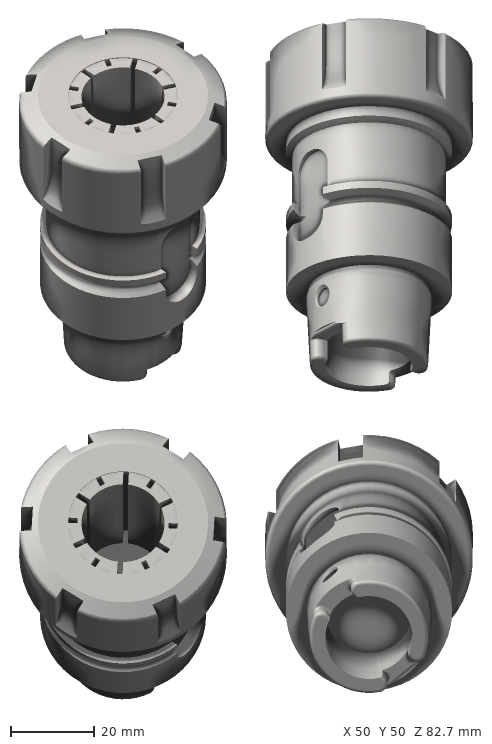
import cadquery as cq
import math


NUT_RADIUS = 50.0 / 2
NUT_FACE_RADIUS = 20.5
NUT_BOTTOM = 40.1
NUT_TOP = 62.7
NUT_RIM_RADIUS = 24.4
NUT_RIM_DROP = 1.15
NUT_SHOULDER_DROP = 2.2
NUT_BOTTOM_FILLET = 1.0

SPANNER_SLOT_COUNT = 6
SPANNER_SLOT_WIDTH = 6.1
SPANNER_FLOOR_RADIUS = 21.9
SPANNER_RUNOUT_TOP = 51.25
SPANNER_CUTTER_RADIUS = 12.0

COLLET_RADIUS = 13.2
COLLET_RECESS = 0.25
COLLET_BORE_RADIUS = 10.0
COLLET_BORE_DEPTH = 40.0
SLIT_COUNT = 6
SLIT_WIDTH = 1.3
SHORT_SLIT_INNER_RADIUS = 11.0
SHORT_SLIT_FLOOR_RADIUS = 11.7
SHORT_SLIT_DEPTH = 10.75

FLANGE_RADIUS = 20.0
BODY_RADIUS = 18.5
COLLAR_BOTTOM = 37.5
COLLAR_CHAMFER_DROP = 1.1
RING_TOP = 20.0
GROOVE_Z = 16.1
GROOVE_MOUTH_HALF = 2.0
GROOVE_NECK_HALF = 0.9
GROOVE_NECK_RADIUS = 18.35
GROOVE_ROOT_RADIUS = 17.4
GROOVE_ROOT_HALF = 0.12
GROOVE_ARC_RADIUS = 1.0

FLAT_DISTANCE = 17.0
FLAT_WIDTH = 11.0
FLAT_BOTTOM = 7.85
FLAT_TOP = 32.1
FLAT_CORNER_RADIUS = 5.0

SHANK_LENGTH = 20.0
NECK_RADIUS = 14.8
NECK_LENGTH = 0.75
TAPER_TOP_RADIUS = 15.1
TAPER_TOP_DROP = 1.8
TAPER_END_RADIUS = 14.2
SHANK_END_FILLET = 0.8
SHANK_BORE_RADIUS = 10.5

DRIVE_SLOT_WIDTH = 8.0
DRIVE_MOUTH_RADIUS = 2.0
DEEP_SLOT_TOP = -14.7
SHALLOW_SLOT_TOP = -16.5
SHALLOW_SLOT_CORNER_RADIUS = 0.7
LIP_WIDTH = 11.6
LIP_HEIGHT = 0.8
LIP_DEPTH = 1.1

SIDE_HOLE_Z = -5.95
SIDE_HOLE_RADIUS = 2.3
SIDE_HOLE_FLOOR = 13.7
SIDE_HOLE_CHAMFER = 0.75

SLOT_REACH = 24.8
OUTER_SKIN_RADIUS = 12.4
EDGE_MARGIN = 0.1
CLEARANCE = 8.3


def start_radius(edge):
    """Distance of the edge's start point from the Z axis."""
    return math.hypot(edge.startPoint().x, edge.startPoint().y)


def end_radius(edge):
    """Distance of the edge's end point from the Z axis."""
    return math.hypot(edge.endPoint().x, edge.endPoint().y)


def make_shank():
    """Tapered tail with its open bore and two drive slots of unequal depth."""
    shank = (
        cq.Workplane("XZ")
        .moveTo(0, 0)
        .lineTo(NECK_RADIUS, 0)
        .lineTo(NECK_RADIUS, -NECK_LENGTH)
        .lineTo(TAPER_TOP_RADIUS, -TAPER_TOP_DROP)
        .lineTo(TAPER_END_RADIUS, -SHANK_LENGTH)
        .lineTo(0, -SHANK_LENGTH)
        .close()
        .revolve(360, (0, 0), (0, 1))
    )
    bore = cq.Workplane("XY").circle(SHANK_BORE_RADIUS).extrude(-SHANK_LENGTH)
    shank = shank.cut(bore)
    for side, top in ((-1, DEEP_SLOT_TOP), (1, SHALLOW_SLOT_TOP)):
        height = top + SHANK_LENGTH
        slot = cq.Workplane("XY").box(SLOT_REACH, DRIVE_SLOT_WIDTH, height, centered=(True, True, False))
        shank = shank.cut(slot.translate((side * SLOT_REACH / 2, 0, -SHANK_LENGTH)))
    return round_shank_end(shank)


def outer_edges(shank, bottom, top):
    """Edges on the outer skin of the shank whose centers lie near the slots between two heights."""
    near_slots = cq.selectors.BoxSelector(
        (-FLANGE_RADIUS, -DRIVE_SLOT_WIDTH, bottom),
        (FLANGE_RADIUS, DRIVE_SLOT_WIDTH, top),
    )
    return [edge for edge in shank.edges(near_slots).vals() if start_radius(edge) > OUTER_SKIN_RADIUS]


def round_shank_end(shank):
    """Round the slot mouths, the end rim, the shallow slot's corners and the deep slot's upper lip."""
    mouth_edges = [
        edge
        for edge in outer_edges(shank, -SHANK_LENGTH + EDGE_MARGIN, DEEP_SLOT_TOP - EDGE_MARGIN)
        if abs(edge.Center().y) > DRIVE_SLOT_WIDTH / 2 - EDGE_MARGIN
    ]
    shank = cq.Workplane(shank.val().fillet(DRIVE_MOUTH_RADIUS, mouth_edges))
    end_rim = [
        edge
        for edge in shank.edges("<Z").vals()
        if start_radius(edge) > SHANK_BORE_RADIUS + EDGE_MARGIN
        and end_radius(edge) > SHANK_BORE_RADIUS + EDGE_MARGIN
    ]
    shank = cq.Workplane(shank.val().fillet(SHANK_END_FILLET, end_rim))
    slot_corners = [
        edge
        for edge in shank.edges("|X").vals()
        if edge.Center().x > 0 and abs(edge.Center().z - SHALLOW_SLOT_TOP) < EDGE_MARGIN
    ]
    shank = cq.Workplane(shank.val().fillet(SHALLOW_SLOT_CORNER_RADIUS, slot_corners))
    return shank.cut(make_lip_cutter())


def make_lip_cutter():
    """Cutter that rolls the upper lip of the deep slot outward and upward."""
    lip_start = TAPER_END_RADIUS - LIP_DEPTH
    return (
        cq.Workplane("XZ")
        .moveTo(-lip_start, DEEP_SLOT_TOP)
        .radiusArc((-lip_start - LIP_HEIGHT, DEEP_SLOT_TOP + LIP_HEIGHT), LIP_HEIGHT)
        .lineTo(-FLANGE_RADIUS, DEEP_SLOT_TOP + LIP_HEIGHT)
        .lineTo(-FLANGE_RADIUS, DEEP_SLOT_TOP)
        .close()
        .extrude(LIP_WIDTH / 2, both=True)
    )


def make_body():
    """Flange, gripper groove, cylindrical body and collar."""
    return (
        cq.Workplane("XZ")
        .moveTo(0, 0)
        .lineTo(FLANGE_RADIUS, 0)
        .lineTo(FLANGE_RADIUS, GROOVE_Z - GROOVE_MOUTH_HALF)
        .lineTo(GROOVE_NECK_RADIUS, GROOVE_Z - GROOVE_NECK_HALF)
        .radiusArc((GROOVE_ROOT_RADIUS, GROOVE_Z - GROOVE_ROOT_HALF), GROOVE_ARC_RADIUS)
        .lineTo(GROOVE_ROOT_RADIUS, GROOVE_Z + GROOVE_ROOT_HALF)
        .radiusArc((GROOVE_NECK_RADIUS, GROOVE_Z + GROOVE_NECK_HALF), GROOVE_ARC_RADIUS)
        .lineTo(FLANGE_RADIUS, GROOVE_Z + GROOVE_MOUTH_HALF)
        .lineTo(FLANGE_RADIUS, RING_TOP)
        .lineTo(BODY_RADIUS, RING_TOP)
        .lineTo(BODY_RADIUS, COLLAR_BOTTOM - COLLAR_CHAMFER_DROP)
        .lineTo(FLANGE_RADIUS, COLLAR_BOTTOM)
        .lineTo(FLANGE_RADIUS, NUT_BOTTOM)
        .lineTo(0, NUT_BOTTOM)
        .close()
        .revolve(360, (0, 0), (0, 1))
    )


def make_nut():
    """Clamping nut with a conical rim, still without its spanner slots."""
    nut = (
        cq.Workplane("XZ")
        .moveTo(0, NUT_BOTTOM)
        .lineTo(NUT_RADIUS, NUT_BOTTOM)
        .lineTo(NUT_RADIUS, NUT_TOP - NUT_SHOULDER_DROP)
        .tangentArcPoint((NUT_RIM_RADIUS, NUT_TOP - NUT_RIM_DROP), relative=False)
        .lineTo(NUT_FACE_RADIUS, NUT_TOP)
        .lineTo(0, NUT_TOP)
        .close()
        .revolve(360, (0, 0), (0, 1))
    )
    return nut.faces("<Z").edges().fillet(NUT_BOTTOM_FILLET)


def cut_spanner_slots(part):
    """Slots open at the nut face, each running out along the arc of a round cutter."""
    arc_center_radius = SPANNER_FLOOR_RADIUS + SPANNER_CUTTER_RADIUS
    runout_bottom = SPANNER_RUNOUT_TOP - SPANNER_CUTTER_RADIUS
    cutter = (
        cq.Workplane("YZ")
        .moveTo(SPANNER_FLOOR_RADIUS, NUT_TOP + CLEARANCE)
        .lineTo(SPANNER_FLOOR_RADIUS, SPANNER_RUNOUT_TOP)
        .radiusArc((arc_center_radius, runout_bottom), -SPANNER_CUTTER_RADIUS)
        .lineTo(arc_center_radius, NUT_TOP + CLEARANCE)
        .close()
        .extrude(SPANNER_SLOT_WIDTH / 2, both=True)
    )
    for index in range(SPANNER_SLOT_COUNT):
        part = part.cut(cutter.rotate((0, 0, 0), (0, 0, 1), index * 360 / SPANNER_SLOT_COUNT))
    return part


def cut_collet(part):
    """Collet face, bore, full-length slits and short slits between them."""
    face_z = NUT_TOP - COLLET_RECESS
    bore_floor = NUT_TOP - COLLET_BORE_DEPTH
    recess = cq.Workplane("XY").workplane(offset=face_z).circle(COLLET_RADIUS).extrude(CLEARANCE)
    bore_plane = cq.Workplane("XY").workplane(offset=bore_floor)
    bore = bore_plane.circle(COLLET_BORE_RADIUS).extrude(COLLET_BORE_DEPTH)
    part = part.cut(recess).cut(bore)

    full_slit = (
        bore_plane.center(COLLET_RADIUS / 2, 0)
        .rect(COLLET_RADIUS, SLIT_WIDTH)
        .extrude(COLLET_BORE_DEPTH - COLLET_RECESS)
    )
    short_slit_floor = face_z - SHORT_SLIT_DEPTH
    short_slit = (
        cq.Workplane("XZ")
        .moveTo(SHORT_SLIT_INNER_RADIUS, face_z)
        .lineTo(COLLET_RADIUS, face_z)
        .lineTo(SHORT_SLIT_FLOOR_RADIUS, short_slit_floor)
        .lineTo(SHORT_SLIT_INNER_RADIUS, short_slit_floor)
        .close()
        .extrude(SLIT_WIDTH / 2, both=True)
    )
    pitch = 360 / SLIT_COUNT
    for index in range(SLIT_COUNT):
        part = part.cut(full_slit.rotate((0, 0, 0), (0, 0, 1), index * pitch))
        part = part.cut(short_slit.rotate((0, 0, 0), (0, 0, 1), (index + 0.5) * pitch))
    return part


def cut_side_features(part):
    """Round-ended flats on the body and countersunk blind holes in the shank, on both X sides."""
    flat = (
        cq.Workplane("YZ")
        .workplane(offset=FLAT_DISTANCE)
        .center(0, (FLAT_BOTTOM + FLAT_TOP) / 2)
        .rect(FLAT_WIDTH, FLAT_TOP - FLAT_BOTTOM)
        .extrude(CLEARANCE)
        .edges("|X")
        .fillet(FLAT_CORNER_RADIUS)
    )
    chamfer_start = TAPER_TOP_RADIUS - SIDE_HOLE_CHAMFER
    hole = (
        cq.Workplane("XY")
        .moveTo(SIDE_HOLE_FLOOR, 0)
        .lineTo(SIDE_HOLE_FLOOR, SIDE_HOLE_RADIUS)
        .lineTo(chamfer_start, SIDE_HOLE_RADIUS)
        .lineTo(TAPER_TOP_RADIUS, SIDE_HOLE_RADIUS + SIDE_HOLE_CHAMFER)
        .lineTo(TAPER_TOP_RADIUS, 0)
        .close()
        .revolve(360, (0, 0), (1, 0))
        .translate((0, 0, SIDE_HOLE_Z))
    )
    for angle in (0, 180):
        for tool in (flat, hole):
            part = part.cut(tool.rotate((0, 0, 0), (0, 0, 1), angle))
    return part


result = make_shank().union(make_body()).union(make_nut())
result = cut_spanner_slots(result)
result = cut_collet(result)
result = cut_side_features(result)